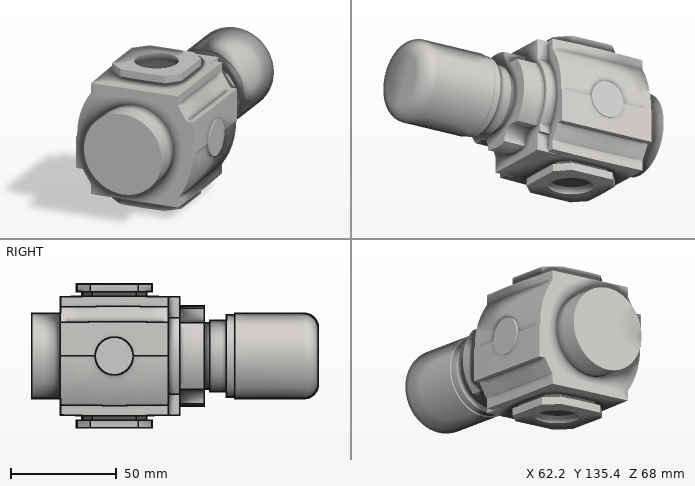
import cadquery as cq
import math


housing_length = 50.9
housing_half_height = 28.3
shoulder_x = 22.7
shoulder_z = 23.4
bow_end_x = 30.0
bow_mid_x = 26.8
bow_mid_z = 16.5
wall_x = 30.6
ledge_x = 27.2
ledge_z = 16.1
end_scale = 0.988

lower_cap_radius = 20.2
lower_cap_length = 13.5
button_radius = 9.0
button_face_x = 31.1

plate_top_z = 34.0
plate_thickness = 3.7
plate_half_width = 17.9
plate_corner = 11.4
plate_front_y = -17.5
plate_front_peak_y = -17.9
plate_front_left_x = -10.8
plate_front_right_x = 12.0
plate_neck_inset = 2.6
port_radius = 10.5

flange_radius = 25.5
flange_thickness = 5.5
tongue_half_width = 18.0
tongue_half_height = 28.0
tongue_depth = 4.5
tongue_side_gap = 0.4
lug_top_z = -15.7
lug_bottom_z = -19.4
collar_radius = 23.7
collar_length = 11.5
collar_root = 15.7
lobe_half_width = 7.0
lobe_fillet = 6.1
groove_radius = 15.7
groove_length = 2.7
stem_radius = 16.9
stem_length = 7.7
skirt_radius = 19.5
skirt_length = 4.0
knob_radius = 20.2
knob_end_y = 96.4
knob_round = 7.0

housing_back_y = housing_length / 2
housing_front_y = -housing_length / 2
tongue_end_y = housing_back_y - tongue_depth
flange_back_y = housing_back_y + flange_thickness
collar_back_y = flange_back_y + collar_length


def disc(radius, start_y, length):
    """Cylinder on the main axis, from start_y towards +Y."""
    return cq.Workplane("XZ", origin=(0, start_y, 0)).circle(radius).extrude(-length)


def housing_section(y, scale):
    """Closed housing outline at the given Y, the same after half a turn about Y."""
    def at(x, z):
        return cq.Vector(x * scale, y, z * scale)

    edges = []
    for turn in (1, -1):
        top_far = at(turn * shoulder_x, turn * housing_half_height)
        shoulder = at(turn * shoulder_x, turn * shoulder_z)
        ledge_inner = at(turn * ledge_x, turn * ledge_z)
        ledge_outer = at(turn * wall_x, turn * ledge_z)
        wall_end = at(turn * wall_x, 0)
        bow_start = at(turn * bow_end_x, 0)
        bow_mid = at(turn * bow_mid_x, -turn * bow_mid_z)
        bow_end = at(turn * shoulder_x, -turn * shoulder_z)
        bottom = at(turn * shoulder_x, -turn * housing_half_height)
        next_top = at(-turn * shoulder_x, -turn * housing_half_height)
        corners = [top_far, shoulder, ledge_inner, ledge_outer, wall_end, bow_start]
        edges += [cq.Edge.makeLine(a, b) for a, b in zip(corners, corners[1:])]
        edges.append(cq.Edge.makeThreePointArc(bow_start, bow_mid, bow_end))
        edges.append(cq.Edge.makeLine(bow_end, bottom))
        edges.append(cq.Edge.makeLine(bottom, next_top))
    return cq.Wire.assembleEdges(edges)


def barrel_block():
    """Main block, fullest at mid-length."""
    sections = [
        housing_section(housing_front_y, end_scale),
        housing_section(0, 1),
        housing_section(housing_back_y, end_scale),
    ]
    return cq.Workplane(obj=cq.Solid.makeLoft(sections))


def plate_outline(z):
    return (
        cq.Workplane("XY", origin=(0, 0, z))
        .moveTo(-plate_corner, plate_half_width)
        .lineTo(plate_corner, plate_half_width)
        .lineTo(plate_half_width, plate_corner)
        .lineTo(plate_half_width, -plate_corner)
        .lineTo(plate_front_right_x, plate_front_y)
        .lineTo(0, plate_front_peak_y)
        .lineTo(plate_front_left_x, plate_front_y)
        .lineTo(-plate_half_width, -plate_corner)
        .lineTo(-plate_half_width, plate_corner)
        .close()
    )


def port_plate():
    """Plate on the +Z side: eight-sided rim with a port recess, on a smaller neck."""
    rim_z = plate_top_z - plate_thickness
    rim = plate_outline(rim_z).extrude(plate_thickness)
    port = cq.Workplane("XY", origin=(0, 0, rim_z)).circle(port_radius).extrude(plate_thickness)
    neck = plate_outline(0).offset2D(-plate_neck_inset).extrude(rim_z)
    return neck.union(rim.cut(port))


def make_housing():
    button = cq.Workplane("YZ").circle(button_radius).extrude(button_face_x, both=True)
    lower_cap = disc(lower_cap_radius, housing_front_y - lower_cap_length, lower_cap_length)
    slot = (
        cq.Workplane("XY", origin=(0, tongue_end_y + tongue_depth / 2, 0))
        .box(2 * (tongue_half_width + tongue_side_gap), tongue_depth, 2 * plate_top_z)
    )
    plate = port_plate()
    block = barrel_block().cut(slot)
    return block.union(button).union(lower_cap).union(plate).union(plate.mirror("XY"))


def collar():
    """Round collar, flat above and below, with a filleted lobe in the middle of each flat."""
    fillet_end_x = lobe_half_width + lobe_fillet
    fillet_end_z = collar_root + lobe_fillet
    flat_end_x = math.sqrt(collar_radius**2 - collar_root**2)
    lobe_top_z = math.sqrt(collar_radius**2 - lobe_half_width**2)
    arc_offset = lobe_fillet * (1 - math.sqrt(0.5))
    quarter = (
        cq.Workplane("XZ", origin=(0, collar_back_y, 0))
        .moveTo(0, collar_radius)
        .radiusArc((lobe_half_width, lobe_top_z), collar_radius)
        .lineTo(lobe_half_width, fillet_end_z)
        .threePointArc(
            (lobe_half_width + arc_offset, collar_root + arc_offset), (fillet_end_x, collar_root)
        )
        .lineTo(flat_end_x, collar_root)
        .radiusArc((collar_radius, 0), collar_radius)
    )
    profile = quarter.mirrorX().mirrorY()
    return profile.extrude(collar_length)


def knob():
    """Groove, stem, skirt and rounded grip, stacked from the collar towards +Y."""
    stem_y = collar_back_y + groove_length
    skirt_y = stem_y + stem_length
    grip_y = skirt_y + skirt_length
    grip = disc(knob_radius, grip_y, knob_end_y - grip_y).faces(">Y").edges().fillet(knob_round)
    return (
        disc(groove_radius, collar_back_y, groove_length)
        .union(disc(stem_radius, stem_y, stem_length))
        .union(disc(skirt_radius, skirt_y, skirt_length))
        .union(grip)
    )


def flange_lug():
    """Lug reaching from the -X side of the tongue out to the flange rim."""
    rim_x = math.sqrt(flange_radius**2 - lug_top_z**2)
    return (
        cq.Workplane("XZ", origin=(0, housing_back_y, 0))
        .moveTo(-rim_x, lug_top_z)
        .lineTo(0, lug_top_z)
        .lineTo(0, lug_bottom_z)
        .lineTo(-rim_x, lug_bottom_z)
        .close()
        .extrude(-flange_thickness)
    )


def make_bonnet():
    tongue_length = tongue_depth + flange_thickness
    tongue = (
        cq.Workplane("XY", origin=(0, tongue_end_y + tongue_length / 2, 0))
        .box(2 * tongue_half_width, tongue_length, 2 * tongue_half_height)
    )
    flange = disc(flange_radius, housing_back_y, flange_thickness)
    return tongue.union(flange).union(flange_lug()).union(collar()).union(knob())


housing = make_housing()
bonnet = make_bonnet()
result = cq.Compound.makeCompound([housing.solids().val(), bonnet.solids().val()])